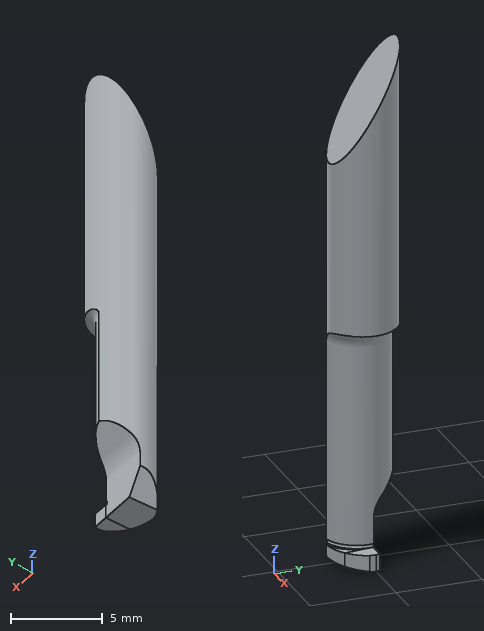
import cadquery as cq
import math


shank_radius = 2.0
bar_length = 30.71
top_slope = 60.0

neck_offset = 1.0
neck_axis_x = -neck_offset
neck_front_x = neck_axis_x + shank_radius
neck_top = 13.0
neck_run_out_radius = 1.0

relief_radius = 0.1
relief_depth = 0.07
relief_height = 1.11

tip_height = 1.0
tip_reach = shank_radius
rake_y = 0.25
head_start_x = -neck_offset / 2
head_start_y = -math.sqrt(shank_radius**2 - head_start_x**2)
head_middle_x = 1.05
head_middle_y = -1.4
edge_flat_x = 1.94
edge_flat_y = -0.35
side_clearance = 3.0
end_clearance = 1.5

chip_slope = math.radians(45)
chip_slope_bottom = 3.4
chip_corner_radius = 1.7

back_cut_slope = 60.0
back_cut_end_x = -1.0

margin = 3.0
outside = shank_radius + margin


def make_shank():
    """Round bar whose top face is sloped and peaks at +Y."""
    slope_drop = 2 * shank_radius * math.tan(math.radians(top_slope))
    side = (
        cq.Workplane("YZ")
        .moveTo(-shank_radius, 0)
        .lineTo(shank_radius, 0)
        .lineTo(shank_radius, bar_length)
        .lineTo(-shank_radius, bar_length - slope_drop)
        .close()
        .extrude(shank_radius, both=True)
    )
    return cq.Workplane("XY").circle(shank_radius).extrude(bar_length).intersect(side)


def turned_about_neck_axis(profile):
    """Revolve a radius-height profile about the shifted neck axis."""
    turned = profile.revolve(360, (0, 0, 0), (0, 1, 0))
    return turned.translate((neck_axis_x, 0, 0))


def make_neck_clearance():
    """Ring of material removed around the neck, with a quarter-round run-out at its top."""
    run_out_edge = shank_radius + neck_run_out_radius
    run_out_top = neck_top + neck_run_out_radius
    arc_step = neck_run_out_radius * math.sqrt(0.5)
    profile = (
        cq.Workplane("XZ")
        .moveTo(shank_radius, -margin)
        .lineTo(shank_radius, neck_top)
        .threePointArc((run_out_edge - arc_step, neck_top + arc_step), (run_out_edge, run_out_top))
        .lineTo(run_out_edge + margin, run_out_top)
        .lineTo(run_out_edge + margin, -margin)
        .close()
    )
    return turned_about_neck_axis(profile)


def make_relief_groove():
    groove_center = shank_radius + relief_radius - relief_depth
    return turned_about_neck_axis(
        cq.Workplane("XZ").moveTo(groove_center, relief_height).circle(relief_radius)
    )


def make_head():
    """Plate from the neck out to the cutting edge, thinning toward -Y."""
    outline = (
        cq.Workplane("XY")
        .moveTo(head_start_x, rake_y)
        .lineTo(head_start_x, head_start_y)
        .threePointArc((head_middle_x, head_middle_y), (edge_flat_x, edge_flat_y))
        .lineTo(tip_reach, 0)
        .lineTo(edge_flat_x, rake_y)
        .close()
        .extrude(tip_height)
    )
    top_drop = outside * math.tan(math.radians(side_clearance))
    below_top = (
        cq.Workplane("YZ")
        .moveTo(rake_y, -margin)
        .lineTo(rake_y, tip_height)
        .lineTo(0, tip_height)
        .lineTo(-outside, tip_height - top_drop)
        .lineTo(-outside, -margin)
        .close()
        .extrude(outside, both=True)
    )
    return outline.intersect(below_top)


def make_bottom_cut():
    """Everything below the bottom face, whose lowest point is the outermost corner of the tip."""
    side_rise = outside * math.tan(math.radians(side_clearance))
    return (
        cq.Workplane("YZ")
        .moveTo(outside, -margin)
        .lineTo(outside, 0)
        .lineTo(0, 0)
        .lineTo(-outside, side_rise)
        .lineTo(-outside, -margin)
        .close()
        .extrude(2 * outside, both=True)
        .rotate((0, 0, 0), (0, 1, 0), end_clearance)
        .translate((tip_reach, 0, 0))
    )


def make_chip_space():
    """Flat at the cutting face that runs out along a slope with a rounded corner."""
    tangent = chip_corner_radius * math.tan(chip_slope / 2)
    slope_run = tangent * math.cos(chip_slope)
    slope_rise = tangent * math.sin(chip_slope)
    slope_end = chip_slope_bottom + (outside - rake_y) * math.tan(chip_slope)
    flat_end = (rake_y, chip_slope_bottom - tangent)
    slope_start = (rake_y + slope_run, chip_slope_bottom + slope_rise)
    return (
        cq.Workplane("YZ")
        .moveTo(rake_y, -margin)
        .lineTo(*flat_end)
        .radiusArc(slope_start, chip_corner_radius)
        .lineTo(outside, slope_end)
        .lineTo(outside, -margin)
        .close()
        .extrude(outside, both=True)
    )


def make_back_cut():
    """Wedge below the slanted face at -X."""
    rise = (back_cut_end_x + outside) * math.tan(math.radians(back_cut_slope))
    drop = margin * math.tan(math.radians(back_cut_slope))
    return (
        cq.Workplane("XZ")
        .moveTo(back_cut_end_x + margin, -drop)
        .lineTo(-outside, rise)
        .lineTo(-outside, -drop)
        .close()
        .extrude(outside, both=True)
    )


def make_tip_block():
    """Space in front of the neck that belongs to the cutting tip."""
    return (
        cq.Workplane("XY")
        .box(margin, 2 * outside, bar_length, centered=(False, True, True))
        .translate((neck_front_x, 0, 0))
    )


head = make_head()
bottom_cut = make_bottom_cut()
tip_block = make_tip_block()

bar = (
    make_shank()
    .cut(make_neck_clearance())
    .cut(make_relief_groove())
    .union(head.cut(tip_block))
    .cut(make_chip_space())
    .cut(make_back_cut())
    .cut(bottom_cut)
)

tip = head.intersect(tip_block).cut(bottom_cut)

result = cq.Compound.makeCompound([bar.val(), tip.val()])